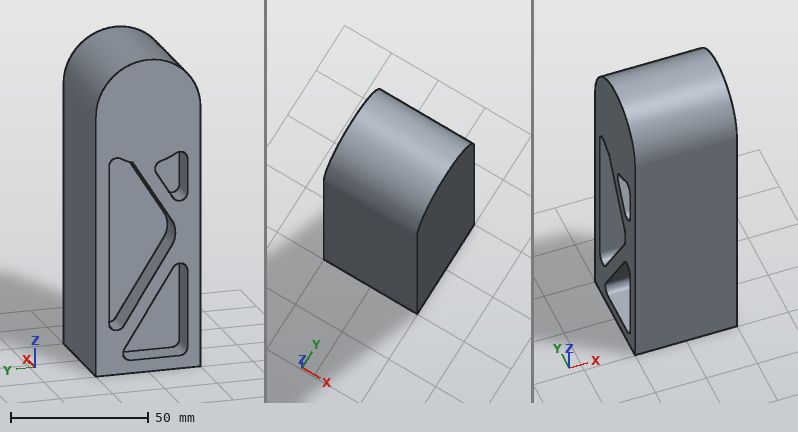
import cadquery as cq
import math

height = 120
width = height / 3
wall = width / 8
pocket_depth = 10.0
corner_radius = 3.0
tip_radius = 9.0

dome_radius = width / 2
dome_z = height - dome_radius
rim_y = dome_radius - wall
floor_z = wall
bend_z = (floor_z + dome_z) / 2

brace_slope = (bend_z - floor_z) / (2 * rim_y)
brace_rise = wall / 2 * math.hypot(1, brace_slope)
brace_run = brace_rise / brace_slope


def pocket_prism(points):
    """Extrude a (Y, Z) outline inward from the -X face."""
    face = cq.Workplane("YZ", origin=(-width / 2, 0, 0))
    return face.polyline(points).close().extrude(pocket_depth)


def below_dome(prism):
    """Trim a prism with the full cylinder that continues the dome."""
    face = cq.Workplane("YZ", origin=(-width / 2, 0, 0))
    return prism.cut(face.center(0, dome_z).circle(dome_radius).extrude(pocket_depth))


def make_body():
    return (
        cq.Workplane("YZ", origin=(-width / 2, 0, 0))
        .moveTo(-dome_radius, 0)
        .lineTo(dome_radius, 0)
        .lineTo(dome_radius, dome_z)
        .threePointArc((0, height), (-dome_radius, dome_z))
        .close()
        .extrude(width)
    )


def make_long_pocket():
    """Pocket on the +Y side of the braces; its corner at the upper brace stays sharp."""
    prism = below_dome(pocket_prism([
        (rim_y, floor_z + brace_rise),
        (rim_y, dome_z - brace_rise),
        (brace_run - rim_y, bend_z),
    ]))
    return prism.edges("|X and <Y").fillet(tip_radius).edges("|X and >Y").fillet(corner_radius)


def make_lower_pocket():
    prism = pocket_prism([
        (-rim_y, floor_z),
        (rim_y - brace_run, floor_z),
        (-rim_y, bend_z - brace_rise),
    ])
    return prism.edges("|X").fillet(corner_radius)


def make_upper_pocket():
    prism = below_dome(pocket_prism([
        (-rim_y, dome_z),
        (rim_y - brace_run, dome_z),
        (-rim_y, bend_z + brace_rise),
    ]))
    return prism.edges("|X").fillet(corner_radius)


result = make_body()
for pocket in (make_long_pocket(), make_lower_pocket(), make_upper_pocket()):
    result = result.cut(pocket)